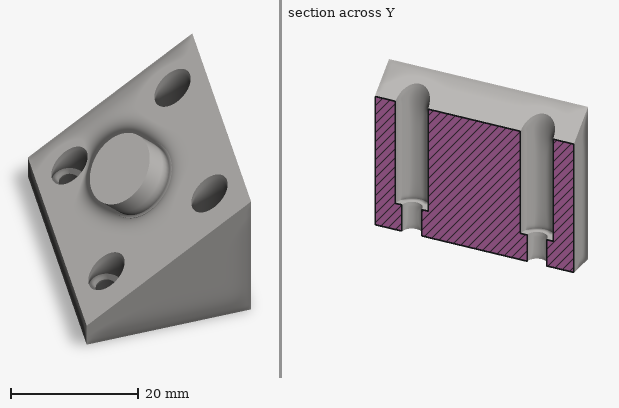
import cadquery as cq
import math

width = 35.0
depth = 26.8
height = 27.3
slope_angle = 40.0
lip_height = height - depth * math.tan(math.radians(slope_angle))

hole_spacing_x = 21.98
hole_spacing_y = 16.8
hole_diameter = 3.4
counterbore_diameter = 5.7
counterbore_floor = 4.8

boss_diameter = 12.0
boss_height = 5.0
collar_diameter = 13.0
collar_height = 0.1


def wedge():
    """Block with a vertical back at +Y and a slope falling to a front lip."""
    front = -depth / 2
    back = depth / 2
    profile = [(front, 0), (back, 0), (back, height), (front, lip_height)]
    return cq.Workplane("YZ").polyline(profile).close().extrude(width / 2, both=True)


def vertical_cylinders(diameter, floor):
    """Four cylinders on the screw pattern, from the floor up past the slope."""
    return (
        cq.Workplane("XY", origin=(0, 0, floor))
        .rarray(hole_spacing_x, hole_spacing_y, 2, 2)
        .circle(diameter / 2)
        .extrude(height)
    )


def slope_cylinder(diameter, length):
    """Cylinder square to the slope, rising from the middle of its surface."""
    angle = math.radians(slope_angle)
    slope_plane = cq.Plane(
        origin=(0, 0, (height + lip_height) / 2),
        xDir=(1, 0, 0),
        normal=(0, -math.sin(angle), math.cos(angle)),
    )
    return (
        cq.Workplane(slope_plane)
        .circle(diameter / 2)
        .extrude(length)
    )


result = (
    wedge()
    .cut(vertical_cylinders(hole_diameter, 0))
    .cut(vertical_cylinders(counterbore_diameter, counterbore_floor))
    .union(slope_cylinder(collar_diameter, collar_height))
    .union(slope_cylinder(boss_diameter, boss_height))
)